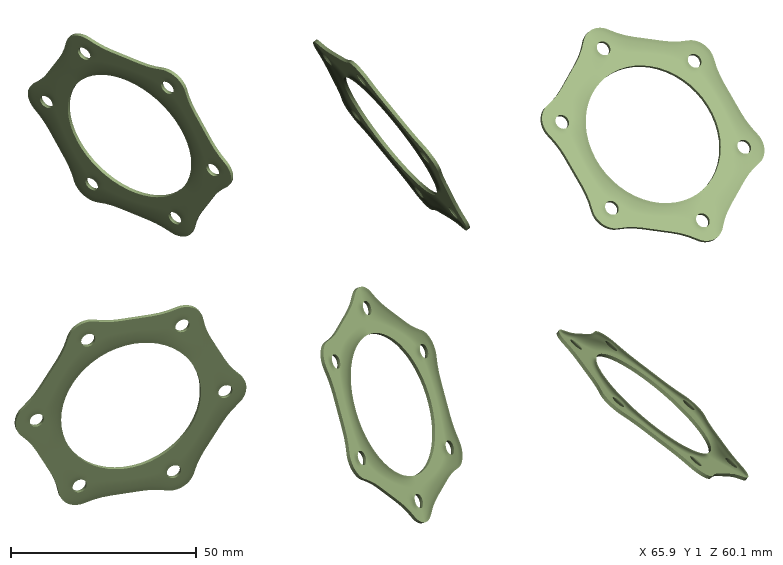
import cadquery as cq
import math

overall_width = 65.9
thickness = 1.0
lobe_count = 6
tilt = 3.0
lobe_radius = 6.0
bolt_hole_diameter = 4.0
bore_diameter = 40.0
flat_distance = 28.0
fillet_radius = 24.0

bolt_circle_radius = (overall_width / 2 - lobe_radius) / math.cos(math.radians(tilt))
lobe_pitch = 360.0 / lobe_count
half_pitch = math.radians(lobe_pitch / 2)

lobe_across = bolt_circle_radius * math.sin(half_pitch)
lobe_out = bolt_circle_radius * math.cos(half_pitch)
fillet_out = flat_distance + fillet_radius
center_spacing = fillet_radius + lobe_radius
blend_angle = math.acos((fillet_out - lobe_out) / center_spacing)
flat_half_length = lobe_across - center_spacing * math.sin(blend_angle)


def place(across, out, side_angle):
    """Turn a point of one side to the side facing side_angle (degrees)."""
    angle = math.radians(side_angle)
    x = out * math.cos(angle) - across * math.sin(angle)
    z = out * math.sin(angle) + across * math.cos(angle)
    return (x, z)


def fillet_point(angle):
    """Point on the concave blend, at an angle from its straight-edge end."""
    across = flat_half_length + fillet_radius * math.sin(angle)
    out = fillet_out - fillet_radius * math.cos(angle)
    return (across, out)


def make_outline():
    """Six rounded lobes joined by concave blends and straight edges."""
    blend_mid = fillet_point(blend_angle / 2)
    blend_end = fillet_point(blend_angle)
    first_side = tilt - lobe_pitch / 2
    outline = cq.Workplane("XZ").moveTo(*place(-blend_end[0], blend_end[1], first_side))
    for index in range(lobe_count):
        side = first_side + index * lobe_pitch
        next_side = side + lobe_pitch
        lobe_tip = place(0, bolt_circle_radius + lobe_radius, side + lobe_pitch / 2)
        outline = (
            outline
            .threePointArc(
                place(-blend_mid[0], blend_mid[1], side),
                place(-flat_half_length, flat_distance, side),
            )
            .lineTo(*place(flat_half_length, flat_distance, side))
            .threePointArc(place(*blend_mid, side), place(*blend_end, side))
            .threePointArc(lobe_tip, place(-blend_end[0], blend_end[1], next_side))
        )
    return outline.close()


plate = make_outline().extrude(thickness / 2, both=True)

bore = cq.Workplane("XZ").circle(bore_diameter / 2).extrude(thickness, both=True)

bolt_holes = (
    cq.Workplane("XZ")
    .polarArray(bolt_circle_radius, tilt, 360, lobe_count)
    .circle(bolt_hole_diameter / 2)
    .extrude(thickness, both=True)
)

result = plate.cut(bore).cut(bolt_holes)